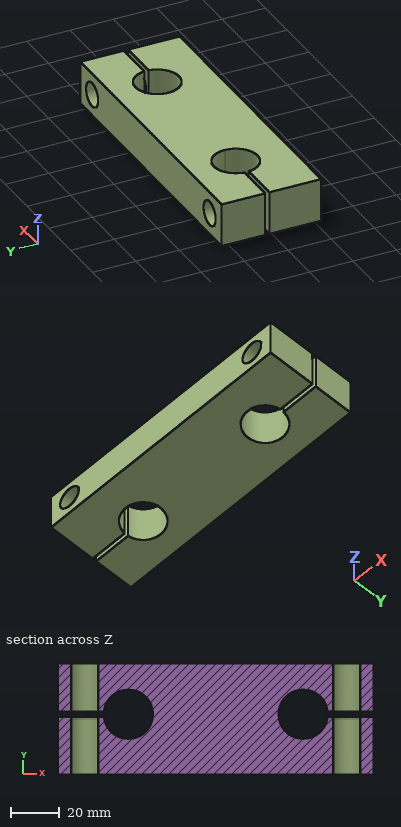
import cadquery as cq

length = 130
width = 46.0
height = 20.0

bore_diameter = 20.0
bore_spacing = 72.0
bore_line_from_back = 21.0
bore_y = width / 2 - bore_line_from_back

slit_width = 2.0

screw_hole_diameter = 11.0
screw_hole_end_distance = 11.0
screw_spacing = length - 2 * screw_hole_end_distance


def block():
    return cq.Workplane("XY").box(length, width, height)


def bore(side):
    return (
        cq.Workplane("XY")
        .center(side * bore_spacing / 2, bore_y)
        .circle(bore_diameter / 2)
        .extrude(height / 2, both=True)
    )


def slit(side):
    slit_length = (length - bore_spacing) / 2
    slit_x = side * (length - slit_length) / 2
    return cq.Workplane("XY").box(slit_length, slit_width, height).translate((slit_x, bore_y, 0))


def screw_hole(side):
    return (
        cq.Workplane("XZ")
        .center(side * screw_spacing / 2, 0)
        .circle(screw_hole_diameter / 2)
        .extrude(width / 2, both=True)
    )


result = block()
for side in (-1, 1):
    result = result.cut(bore(side)).cut(slit(side)).cut(screw_hole(side))